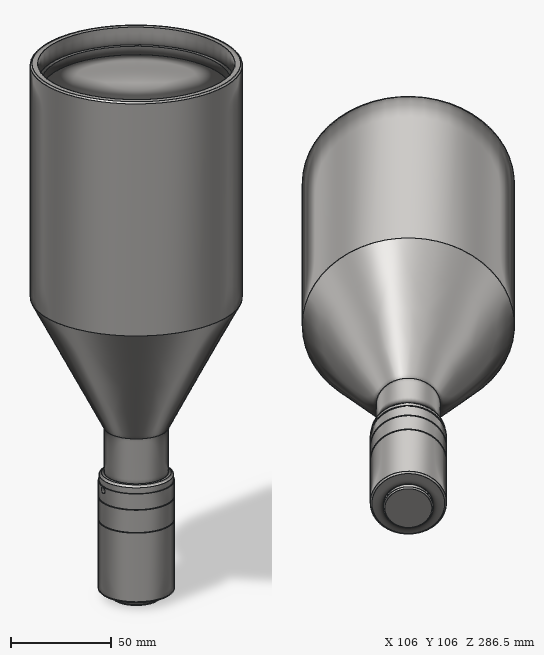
import cadquery as cq
import math

total_height = 286.5
hood_radius = 106.0 / 2
neck_radius = 32.0 / 2
barrel_radius = 38.0 / 2
tip_radius = 25.0 / 2
tip_neck_radius = 23.5 / 2

barrel_bottom = 4.0
flange_top = 3.2
barrel_top = 67.0
collar_bottom = 62.8
cone_bottom = 91.0
cone_top = 161.0

hood_chamfer = 1.0
barrel_chamfer = 1.0
collar_round = 1.1
collar_step = 0.43
tip_chamfer = tip_radius - tip_neck_radius
collar_radius = barrel_radius - collar_step

bore_radius = 49.3
bore_depth = 9.5
seat_radius = 47.3
seat_depth = 14.0
lens_rise = 6.3

groove_heights = (41.8, 54.2)
groove_width = 0.3
groove_depth = 0.15

screw_diameter = 3.5
screw_depth = 2.3
socket_diameter = 1.7
socket_depth = 3.5
screw_height = collar_bottom - screw_diameter / 2


def make_body():
    """Stepped and conical housing, with a domed lens inside the hood."""
    seat_height = total_height - seat_depth
    bore_height = total_height - bore_depth
    sphere_radius = (seat_radius**2 + lens_rise**2) / (2 * lens_rise)
    half_angle = math.asin(seat_radius / sphere_radius) / 2
    arc_middle = (
        sphere_radius * math.sin(half_angle),
        seat_height + lens_rise - sphere_radius * (1 - math.cos(half_angle)),
    )
    return (
        cq.Workplane("XZ")
        .moveTo(0, 0)
        .lineTo(tip_neck_radius, 0)
        .lineTo(tip_radius, tip_chamfer)
        .lineTo(tip_radius, flange_top)
        .lineTo(tip_neck_radius, flange_top)
        .lineTo(tip_neck_radius, barrel_bottom)
        .lineTo(barrel_radius - barrel_chamfer, barrel_bottom)
        .lineTo(barrel_radius, barrel_bottom + barrel_chamfer)
        .lineTo(barrel_radius, collar_bottom)
        .lineTo(collar_radius, collar_bottom)
        .lineTo(collar_radius, barrel_top - collar_round)
        .radiusArc((collar_radius - collar_round, barrel_top), collar_round)
        .lineTo(neck_radius, barrel_top)
        .lineTo(neck_radius, cone_bottom)
        .lineTo(hood_radius, cone_top)
        .lineTo(hood_radius, total_height - hood_chamfer)
        .lineTo(hood_radius - hood_chamfer, total_height)
        .lineTo(bore_radius, total_height)
        .lineTo(bore_radius, bore_height)
        .lineTo(seat_radius, bore_height)
        .lineTo(seat_radius, seat_height)
        .threePointArc(arc_middle, (0, seat_height + lens_rise))
        .close()
        .revolve(360, (0, 0, 0), (0, 1, 0))
    )


def make_groove(height):
    """Thin ring that cuts a groove centred on the given height."""
    return (
        cq.Workplane("XY", origin=(0, 0, height - groove_width / 2))
        .circle(barrel_radius + groove_depth)
        .circle(barrel_radius - groove_depth)
        .extrude(groove_width)
    )


def make_radial_hole(diameter, depth):
    """Blind radial hole entering the barrel from the -Y side."""
    return (
        cq.Workplane("XZ", origin=(0, depth - barrel_radius, screw_height))
        .circle(diameter / 2)
        .extrude(barrel_radius)
    )


result = make_body()
result = result.cut(make_radial_hole(screw_diameter, screw_depth))
result = result.cut(make_radial_hole(socket_diameter, socket_depth))
for groove_height in groove_heights:
    result = result.cut(make_groove(groove_height))